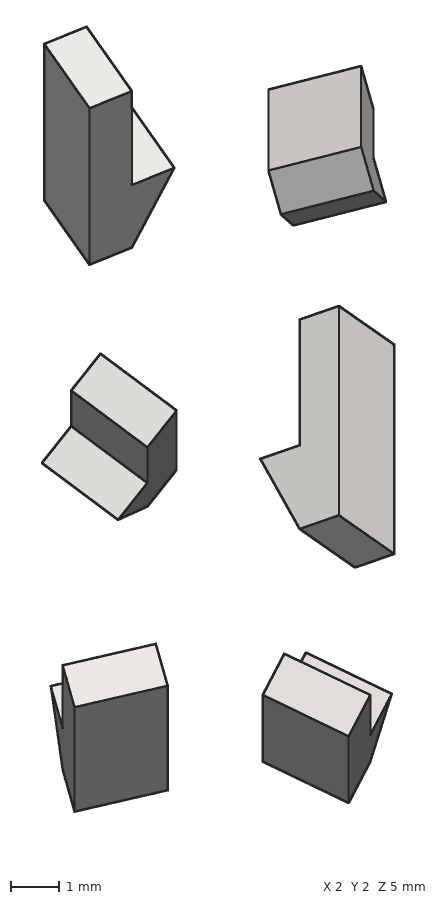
import cadquery as cq

width = 2.0
height = 5.0
stem_thickness = 1.0
hook_reach = 1.0
hook_height = 2.0

hook_tip = stem_thickness + hook_reach

profile = [
    (0, 0),
    (stem_thickness, 0),
    (hook_tip, hook_height),
    (stem_thickness, hook_height),
    (stem_thickness, height),
    (0, height),
]

result = cq.Workplane("YZ").polyline(profile).close().extrude(width)